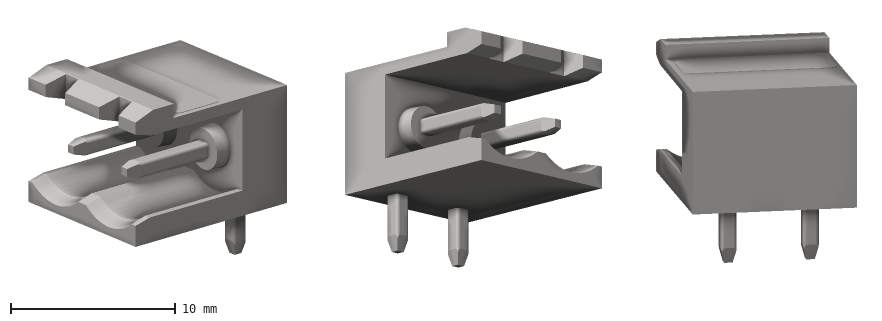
import cadquery as cq


pin_count = 2
pitch = 5.08
width = pin_count * pitch
length = 12.0
height = 8.57
roof_z = 7.65
floor_z = 1.64
cavity_depth = 8.47
ceiling_wall_z = 6.9
ceiling_z = 6.94

lip_length = 3.02
lip_top_slope = 1.39
lip_bottom_slope = 1.27
lip_nose_top_z = 8.07
lip_nose_bottom_z = 7.28
floor_slope = 1.11
floor_nose_z = 1.36

notch_depth = 1.33
notch_front_width = 1.86
notch_back_width = 1.18

groove_radius = 3.35
groove_bottom_z = 0.89
groove_nose_bottom_z = 0.55

boss_base_diameter = 2.8
boss_end_diameter = 2.63
boss_length = 1.0

pad_width = 9.55
pad_length = 3.6
pad_front_y = 3.54
pad_left_margin = 0.24
pad_corner_radius = 0.48
pad_thickness = 0.04

pin_size = 1.0
pin_edge_radius = 0.22
pin_tip_size = 0.52
pin_taper_length = 0.97
pin_axis_z = 3.85
pin_front_y = 1.22
leg_y = 10.0
leg_length = 3.5

pin_positions = [(i - (pin_count - 1) / 2) * pitch for i in range(pin_count)]


def make_shell():
    """C-shaped housing profile in the YZ plane, extruded across the width."""
    profile = [
        (0, 0),
        (length, 0),
        (length, roof_z),
        (lip_length, roof_z),
        (lip_length, height),
        (lip_top_slope, height),
        (0, lip_nose_top_z),
        (0, lip_nose_bottom_z),
        (lip_bottom_slope, ceiling_z),
        (cavity_depth, ceiling_wall_z),
        (cavity_depth, floor_z),
        (floor_slope, floor_z),
        (0, floor_nose_z),
    ]
    return cq.Workplane("YZ").polyline(profile).close().extrude(width / 2, both=True)


def make_notch(x):
    """Trapezoidal cutter that passes through the lip and narrows toward the back."""
    half_front = notch_front_width / 2
    half_back = notch_back_width / 2
    outline = [
        (x - half_front, 0),
        (x + half_front, 0),
        (x + half_back, notch_depth),
        (x - half_back, notch_depth),
    ]
    return (
        cq.Workplane("XY").workplane(offset=ceiling_wall_z)
        .polyline(outline).close().extrude(height - ceiling_wall_z)
    )


def make_groove(x):
    """Round groove along the lower plate, dipping toward the open front."""
    axis_z = groove_bottom_z + groove_radius
    dip = groove_bottom_z - groove_nose_bottom_z
    slope_end = cq.Vector(x, floor_slope, axis_z)
    circle = cq.Wire.makeCircle(groove_radius, slope_end, cq.Vector(0, 1, 0))
    straight = cq.Solid.extrudeLinear(circle, [], cq.Vector(0, cavity_depth - floor_slope, 0))
    dipping = cq.Solid.extrudeLinear(circle, [], cq.Vector(0, -floor_slope, -dip))
    lower_half = cq.Workplane("XY").box(
        2 * groove_radius, cavity_depth, pin_axis_z, centered=(True, False, False)
    ).translate((x, 0, 0))
    return lower_half.intersect(cq.Workplane(straight).union(cq.Workplane(dipping)))


def make_boss(x):
    """Slightly conical boss standing on the inner wall."""
    return cq.Workplane(cq.Solid.makeCone(
        boss_base_diameter / 2,
        boss_end_diameter / 2,
        boss_length,
        cq.Vector(x, cavity_depth, pin_axis_z),
        cq.Vector(0, -1, 0),
    ))


def make_label_pad():
    """Thin rounded pad on the roof."""
    pad_x = -width / 2 + pad_left_margin + pad_width / 2
    pad_y = pad_front_y + pad_length / 2
    return (
        cq.Workplane("XY").box(pad_width, pad_length, pad_thickness, centered=(True, True, False))
        .edges("|Z").fillet(pad_corner_radius)
        .translate((pad_x, pad_y, roof_z))
    )


def make_tip_cutter():
    """Block around the -Z bar end at the origin that leaves only a tapered tip."""
    block = cq.Workplane("XY").box(
        2 * pin_size, 2 * pin_size, pin_taper_length, centered=(True, True, False)
    )
    taper = (
        cq.Workplane("XY").rect(pin_tip_size, pin_tip_size)
        .workplane(offset=pin_taper_length).rect(pin_size, pin_size)
        .loft()
    )
    return block.cut(taper)


def make_pin(x):
    """Right-angled pin: contact along Y, leg down along Z, both ends tapered."""
    half = pin_size / 2
    outline = [
        (pin_front_y, pin_axis_z - half),
        (leg_y - half, pin_axis_z - half),
        (leg_y - half, -leg_length),
        (leg_y + half, -leg_length),
        (leg_y + half, pin_axis_z + half),
        (pin_front_y, pin_axis_z + half),
    ]
    bar = (
        cq.Workplane("YZ").polyline(outline).close().extrude(half, both=True)
        .faces("<X or >X").edges("(not <Y) and (not <Z)").fillet(pin_edge_radius)
    )
    leg_cutter = make_tip_cutter().translate((0, leg_y, -leg_length))
    contact_cutter = (
        make_tip_cutter().rotate((0, 0, 0), (1, 0, 0), -90)
        .translate((0, pin_front_y, pin_axis_z))
    )
    return bar.cut(leg_cutter).cut(contact_cutter).translate((x, 0, 0))


def make_housing(pins):
    """Complete housing, with a close-fitting channel for each pin."""
    body = make_shell().union(make_label_pad())
    for x in pin_positions:
        body = body.cut(make_notch(x)).cut(make_groove(x)).union(make_boss(x))
    for pin in pins:
        body = body.cut(pin)
    return body


pins = [make_pin(x) for x in pin_positions]
housing = make_housing(pins)

result = cq.Compound.makeCompound([
    *housing.solids().vals(),
    *[pin.solids().val() for pin in pins],
])